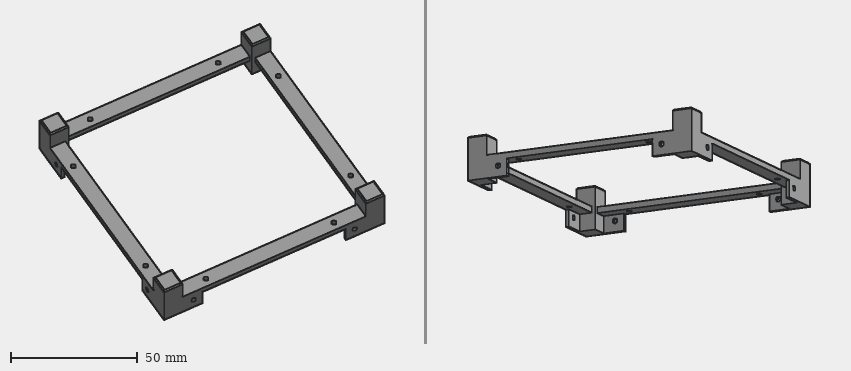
import cadquery as cq

frame_side = 100
total_height = 18

post_side = 8.5
post_chamfer = 0.6

bar_width = 7
bar_bottom = 7
bar_thickness = 2.5

tab_reach = 17.5
tab_thickness = 1.5

hole_diameter = 2
bar_hole_offset = 21
tab_hole_offset = 13.5
tab_hole_height = 4.5

half_side = frame_side / 2
bar_top = bar_bottom + bar_thickness


def block(x_size, y_size, z_size, x_start, y_start, z_start=0):
    """Box placed by its lowest corner."""
    box = cq.Workplane("XY").box(x_size, y_size, z_size, centered=False)
    return box.translate((x_start, y_start, z_start))


def make_post():
    """Post at the -X, -Y corner, with its top edges chamfered."""
    post = block(post_side, post_side, total_height, -half_side, -half_side)
    return post.faces(">Z").edges().chamfer(post_chamfer)


def make_side():
    """The -Y side of the frame: one bar, two tabs and their holes."""
    side = block(frame_side, bar_width, bar_thickness, -half_side, -half_side, bar_bottom)
    for x_start in (-half_side, half_side - tab_reach):
        side = side.union(block(tab_reach, tab_thickness, bar_top, x_start, -half_side))

    bar_hole_x = half_side - bar_hole_offset
    bar_hole_y = -half_side + bar_width / 2
    bar_holes = (
        cq.Workplane("XY")
        .pushPoints([(-bar_hole_x, bar_hole_y), (bar_hole_x, bar_hole_y)])
        .circle(hole_diameter / 2)
        .extrude(total_height)
    )

    tab_hole_x = half_side - tab_hole_offset
    tab_holes = (
        cq.Workplane("XZ", origin=(0, -half_side, 0))
        .pushPoints([(-tab_hole_x, tab_hole_height), (tab_hole_x, tab_hole_height)])
        .circle(hole_diameter / 2)
        .extrude(-tab_thickness)
    )
    return side.cut(bar_holes).cut(tab_holes)


quarter = make_side().union(make_post())
result = quarter
for angle in (90, 180, 270):
    result = result.union(quarter.rotate((0, 0, 0), (0, 0, 1), angle))